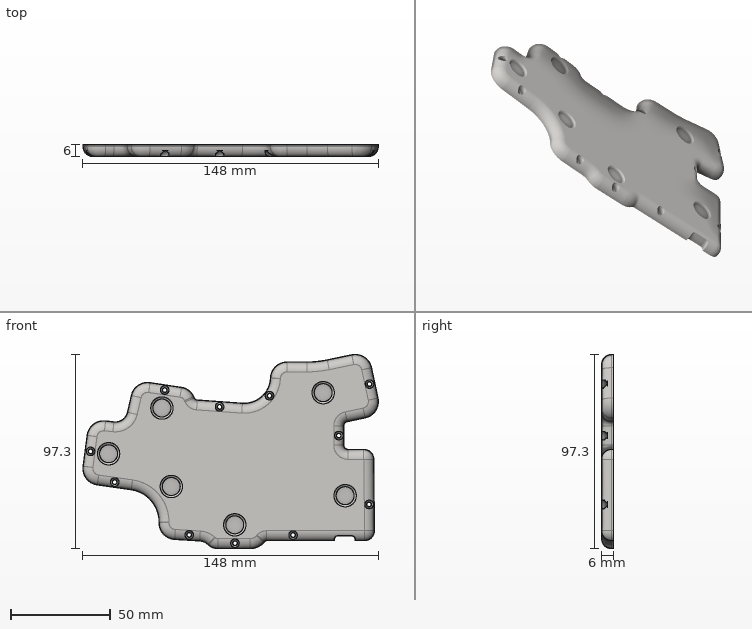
import cadquery as cq
import math

thickness = 6.0
edge_round = 5.0

lobe_radius = 8.4
notch_radius = 2.2
right_radius = 5.1

top_z = 44.8
foot_z = -48.75
lower_edge_z = -44.75
notch_wall_x = 56.5
notch_floor_z = 1.0

outline_corners = [
    (43.2, top_z, 50.0),
    (68.7, 50.1, lobe_radius),
    (75.42, 18.5, lobe_radius),
    (notch_wall_x, 14.5, notch_radius),
    (notch_wall_x, notch_floor_z, notch_radius),
    (71.55, notch_floor_z, right_radius),
    (71.95, lower_edge_z, right_radius),
    (17.25, lower_edge_z, 1.3),
    (13.9, foot_z, 9.3),
    (-9.3, foot_z, 7.2),
    (-13.3, -45.05, 6.6),
    (-36.1, -43.65, lobe_radius),
    (-36.0, -21.25, 16.2),
    (-75.2, -15.65, lobe_radius),
    (-71.0, 16.2, lobe_radius),
    (-53.1, 14.2, 6.2),
    (-48.2, 35.6, lobe_radius),
    (-20.5, 31.45, 8.0),
    (-17.95, 25.85, 1.8),
    (19.2, 23.2, 13.1),
    (20.1, top_z, lobe_radius),
]

screw_diameter = 2.2
head_diameter = 4.3
head_floor_depth = 3.0
screw_centres = [
    (-33.2, 30.7),
    (-5.7, 22.3),
    (19.3, 27.9),
    (69.4, 33.7),
    (54.0, 7.9),
    (69.2, -26.6),
    (31.1, -41.95),
    (2.0, -46.0),
    (-20.95, -41.85),
    (-58.25, -15.4),
    (-70.35, 0.0),
]

recess_diameter = 11.2
recess_floor_diameter = 9.0
recess_depth = 1.0
recess_centres = [
    (-34.6, 21.7),
    (46.2, 29.4),
    (-61.3, -1.2),
    (-29.9, -17.6),
    (57.2, -22.2),
    (1.9, -36.8),
]

cable_centre_x = 57.0
cable_width = 10.4
cable_depth = 2.4
cable_corner_radius = 1.75


def toward(start, end, distance):
    """Point at the given distance from start on the way to end."""
    length = math.dist(start, end)
    return tuple(s + (e - s) * distance / length for s, e in zip(start, end))


def corner_arc(before, corner, after, radius):
    """Start, middle and end of the arc that rounds a corner."""
    heading_in = math.atan2(before[1] - corner[1], before[0] - corner[0])
    heading_out = math.atan2(after[1] - corner[1], after[0] - corner[0])
    half_angle = math.acos(math.cos(heading_in - heading_out)) / 2
    setback = radius / math.tan(half_angle)
    start = toward(corner, before, setback)
    end = toward(corner, after, setback)
    chord_middle = tuple((s + e) / 2 for s, e in zip(start, end))
    middle = toward(corner, chord_middle, radius / math.sin(half_angle) - radius)
    return start, middle, end


def rounded_outline(corners):
    """Closed outline on the XZ plane with every corner rounded."""
    count = len(corners)
    points = [corner[:2] for corner in corners]
    arcs = [
        corner_arc(points[i - 1], points[i], points[(i + 1) % count], corners[i][2])
        for i in range(count)
    ]
    outline = cq.Workplane("XZ").moveTo(*arcs[0][0])
    for i, (start, middle, end) in enumerate(arcs):
        if i > 0:
            outline = outline.lineTo(*start)
        outline = outline.threePointArc(middle, end)
    return outline.close()


def make_plate():
    plate = rounded_outline(outline_corners).extrude(thickness)
    return plate.faces("<Y").edges().fillet(edge_round)


def front_plane(depth=0.0):
    """XZ work plane at a depth below the front face, facing -Y."""
    return cq.Workplane("XZ", origin=(0, depth - thickness, 0))


def make_screw_holes():
    shanks = cq.Workplane("XZ").pushPoints(screw_centres).circle(screw_diameter / 2).extrude(thickness)
    heads = (
        front_plane(head_floor_depth)
        .pushPoints(screw_centres)
        .circle(head_diameter / 2)
        .extrude(head_floor_depth)
    )
    return shanks.union(heads)


def make_recesses():
    slope = math.degrees(math.atan2((recess_diameter - recess_floor_diameter) / 2, recess_depth))
    return (
        front_plane()
        .pushPoints(recess_centres)
        .circle(recess_diameter / 2)
        .extrude(-recess_depth, taper=slope)
    )


def make_cable_notch():
    return (
        cq.Workplane("XZ")
        .center(cable_centre_x, lower_edge_z)
        .rect(cable_width, 2 * cable_depth)
        .extrude(thickness)
        .edges("|Y and >Z")
        .fillet(cable_corner_radius)
    )


result = make_plate().cut(make_screw_holes()).cut(make_recesses()).cut(make_cable_notch())